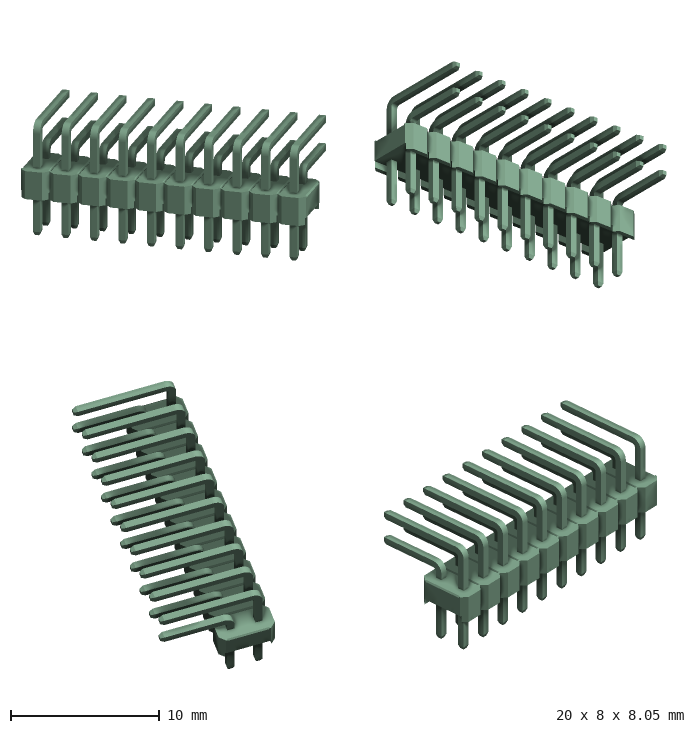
import cadquery as cq
import math

columns = 10
pitch = 2.0
block_length = columns * pitch
block_width = 2 * pitch
block_height = pitch
corner_chamfer = 0.4

channel_width = 3.3
channel_depth = 0.48

groove_length = 3.0
groove_width = 0.2
groove_depth = 0.1

pin_size = 0.5
pin_drop = 2.8
tip_y = 6.0
tall_pin_top = 5.25
short_pin_top = tall_pin_top - pitch
bend_radius = 0.5
lower_tip_length = 0.25
outer_tip_length = 0.28
tip_inset = 0.1

cell_centers = [(i - (columns - 1) / 2) * pitch for i in range(columns)]
cell_boundaries = [(i - columns / 2) * pitch for i in range(columns + 1)]


def make_block():
    """Row of chamfered cells with the underside channel and top grooves cut."""
    block = cq.Workplane("XY")
    for x in cell_centers:
        cell = (
            cq.Workplane("XY")
            .center(x, 0)
            .rect(pitch, block_width)
            .extrude(block_height)
            .edges("|Z")
            .chamfer(corner_chamfer)
        )
        block = block.union(cell)

    channel = cq.Workplane("XY").rect(block_length, channel_width).extrude(channel_depth)
    block = block.cut(channel)

    for x in cell_boundaries:
        groove = (
            cq.Workplane("XZ", origin=(x, 0, block_height))
            .moveTo(-groove_width / 2, 0)
            .lineTo(0, -groove_depth)
            .lineTo(groove_width / 2, 0)
            .close()
            .extrude(groove_length / 2, both=True)
        )
        block = block.cut(groove)
    return block


def make_tip(plane, length):
    """Square taper from the full pin size to the smaller end, along the plane normal."""
    taper_angle = math.degrees(math.atan(tip_inset / length))
    return cq.Workplane(plane).rect(pin_size, pin_size).extrude(length, taper=taper_angle)


def make_pin(x, y, top):
    """Square pin rising at (x, y), bent to +Y, its upper arm reaching height top."""
    center_z = top - pin_size / 2
    start_z = lower_tip_length - pin_drop
    end_y = tip_y - outer_tip_length
    path = (
        cq.Workplane("YZ", origin=(x, 0, 0))
        .moveTo(y, start_z)
        .lineTo(y, center_z - bend_radius)
        .radiusArc((y + bend_radius, center_z), bend_radius)
        .lineTo(end_y, center_z)
    )
    shank = cq.Workplane("XY", origin=(x, y, start_z)).rect(pin_size, pin_size).sweep(path)
    lower_tip = make_tip(cq.Plane((x, y, start_z), (1, 0, 0), (0, 0, -1)), lower_tip_length)
    outer_tip = make_tip(cq.Plane((x, end_y, center_z), (1, 0, 0), (0, 1, 0)), outer_tip_length)
    return shank.union(lower_tip).union(outer_tip)


result = make_block()
for x in cell_centers:
    result = result.union(make_pin(x, -pitch / 2, tall_pin_top))
    result = result.union(make_pin(x, pitch / 2, short_pin_top))